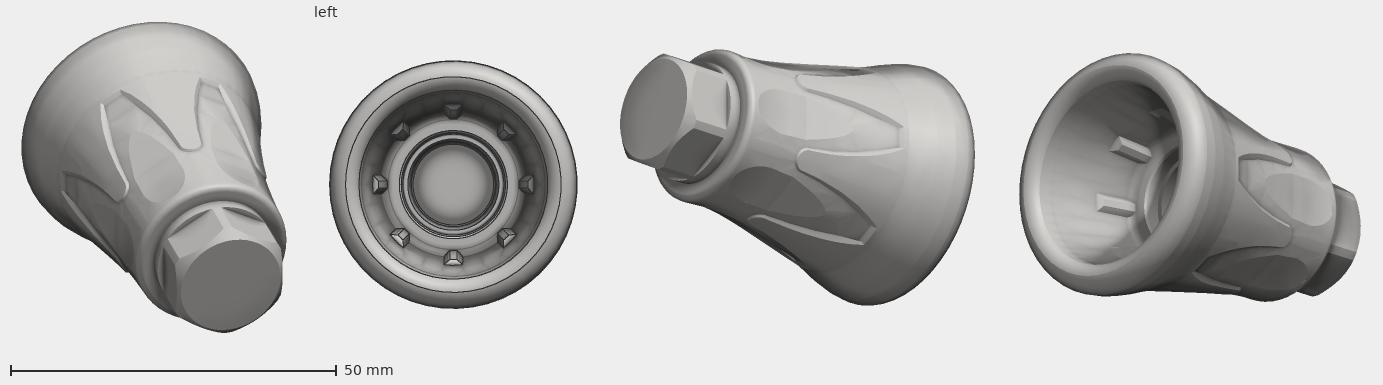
import cadquery as cq
import math

length = 50.0
mouth_radius = 19.0
shoulder_x = 40.6
hex_start_x = 42.5

rim_radius = 2.6
rim_crown_x = 2.75
rim_tip_radius = 16.55
flare_crown = (5.0, 18.7)
flare_middle = (8.0, 17.8)
flare_end = (12.4, 16.25)
flare_bow = 0.05
sleeve_middle = (19.0, 14.95)
sleeve_bend = (25.7, 13.75)
sleeve_end = (31.5, 12.85)

grip_count = 6
recess_start = (13.95, 15.35)
neck_middle = (30.9, 12.65)
neck_end_radius = 12.1
neck_fillet = 1.0
collar_end = (13.2, 16.1)
tongue_wedge_depth = 2.5
tongue_wedge_slope = 0.16
tongue_wall_angle = 35.0
tongue_root = (11.0, 7.75)
tongue_middle = (20.8, 3.85)
tongue_neck = (28.75, 2.55)
tongue_tip = (31.4, 0.0)
tongue_tip_height = 11.5

dent_start = (21.65, 13.85)
dent_bend_start = (29.75, 12.25)
dent_bend_end = (32.25, 12.0)
dent_end = (39.1, 12.1)
dent_front_bow = 0.05
dent_rear_bow = 0.25
dent_half_width = 3.65

collar_diameter = 18.9
hex_sides = 6
hex_across_flats = 17.0
end_diameter = 16.0

lip_middle = (0.45, 15.3)
lip_inner = (1.4, 14.5)
cone_start = (3.95, 14.1)
floor_x = 18.5
cone_floor_radius = 11.0
floor_fillet = 1.25
seat_diameter = 16.0
seat_chamfer = 0.3
seat_floor_x = 21.0
seat_floor_radius = 7.75
bore_diameter = 14.0
bore_end_radius = 6.45
bore_floor_radius = 6.2
bore_floor_x = 30.0

rib_count = 8
rib_start_x = 12.0
rib_root_half_width = 1.55
rib_shoulder_half_width = 0.9
rib_top_half_width = 0.55
rib_shoulder_height = 0.6
rib_height = 0.9
rib_embed = 0.5
rib_tip_lean = 0.9


def revolve_about_x(profile):
    return profile.close().revolve(360, (0, 0, 0), (1, 0, 0))


def bowed_midpoint(start, end, bow):
    """Middle of the chord between two points, moved radially by bow."""
    return ((start[0] + end[0]) / 2, (start[1] + end[1]) / 2 + bow)


def arc_between(profile, start, end, bow):
    return profile.threePointArc(bowed_midpoint(start, end, bow), end)


def ring_of(count, shape):
    """Union of copies of shape spread evenly about the X axis."""
    ring = shape
    for index in range(1, count):
        ring = ring.union(shape.rotate((0, 0, 0), (1, 0, 0), index * 360.0 / count))
    return ring


def flared_head():
    crown = (rim_crown_x, mouth_radius)
    rim_center = (rim_crown_x, mouth_radius - rim_radius)
    diagonal = rim_radius / math.sqrt(2)
    profile = cq.Workplane("XY").lineTo(0, rim_tip_radius).threePointArc(
        (rim_center[0] - diagonal, rim_center[1] + diagonal), crown)
    profile = arc_between(profile, crown, flare_crown, flare_bow)
    profile = arc_between(profile, flare_crown, flare_middle, flare_bow)
    profile = arc_between(profile, flare_middle, flare_end, -flare_bow)
    return revolve_about_x(profile.lineTo(flare_end[0], 0))


def neck():
    fillet_start = (shoulder_x - neck_fillet, neck_end_radius)
    inset = neck_fillet * (1 - 1 / math.sqrt(2))
    profile = cq.Workplane("XY").moveTo(flare_end[0], 0).lineTo(flare_end[0], recess_start[1])
    profile = profile.lineTo(*recess_start).threePointArc(neck_middle, fillet_start)
    profile = profile.threePointArc((shoulder_x - inset, neck_end_radius - inset),
                                    (shoulder_x, neck_end_radius - neck_fillet))
    return revolve_about_x(profile.lineTo(shoulder_x, 0))


def tongue_outline(rise):
    """Tongue outline, rise above the sloping base of its wedge and narrower by the wall angle."""
    inset = rise * math.tan(math.radians(tongue_wall_angle))

    def place(point, side):
        x, half_width = point
        height = tongue_tip_height + tongue_wedge_slope * (tongue_tip[0] - x) + rise
        return cq.Vector(x, side * (half_width - inset), height)

    root, middle, neck_side = [[place(point, side) for side in (-1, 1)]
                               for point in (tongue_root, tongue_middle, tongue_neck)]
    tip = place((tongue_tip[0] - inset, inset), 1)
    return cq.Wire.assembleEdges([
        cq.Edge.makeThreePointArc(root[0], middle[0], neck_side[0]),
        cq.Edge.makeThreePointArc(neck_side[0], tip, neck_side[1]),
        cq.Edge.makeThreePointArc(neck_side[1], middle[1], root[1]),
        cq.Edge.makeLine(root[1], root[0]),
    ])


def tongue_wedge():
    """Wedge with sloping walls that bounds one tongue, wider at its base."""
    outlines = [tongue_outline(0), tongue_outline(tongue_wedge_depth)]
    return cq.Workplane(cq.Solid.makeLoft(outlines, True))


def sleeve():
    """Raised collar whose tongues point towards the neck."""
    skin = cq.Workplane("XY").moveTo(flare_end[0], 0).lineTo(*flare_end)
    skin = skin.threePointArc(sleeve_middle, sleeve_bend).lineTo(*sleeve_end)
    skin = revolve_about_x(skin.lineTo(sleeve_end[0], 0))
    wall_slope = (recess_start[1] - collar_end[1]) / (recess_start[0] - collar_end[0])
    apex_x = recess_start[0] - recess_start[1] / wall_slope
    rear_radius = collar_end[1] + wall_slope * (flare_end[0] - collar_end[0])
    collar = cq.Workplane("XY").moveTo(flare_end[0], 0).lineTo(flare_end[0], rear_radius)
    collar = revolve_about_x(collar.lineTo(apex_x, 0))
    return skin.intersect(collar.union(ring_of(grip_count, tongue_wedge())))


def dents():
    cutter = cq.Workplane("XY").workplane(offset=-dent_half_width).moveTo(*dent_start)
    cutter = arc_between(cutter, dent_start, dent_bend_start, -dent_front_bow)
    cutter = arc_between(cutter.lineTo(*dent_bend_end), dent_bend_end, dent_end, -dent_rear_bow)
    cutter = cutter.lineTo(dent_end[0], dent_start[1]).close().extrude(2 * dent_half_width)
    return ring_of(grip_count, cutter)


def hex_end():
    """Round collar followed by a hexagon whose corners are turned round and chamfered."""
    collar_radius = collar_diameter / 2
    chamfer = collar_radius - end_diameter / 2
    across_corners = hex_across_flats / math.cos(math.pi / hex_sides)
    collar = (
        cq.Workplane("YZ").workplane(offset=shoulder_x)
        .circle(collar_radius).extrude(hex_start_x - shoulder_x)
    )
    hexagon = (
        cq.Workplane("YZ").workplane(offset=hex_start_x)
        .transformed(rotate=(0, 0, 180.0 / hex_sides))
        .polygon(hex_sides, across_corners).extrude(length - hex_start_x)
    )
    turned_bar = (
        cq.Workplane("YZ").workplane(offset=hex_start_x)
        .circle(collar_radius).extrude(length - hex_start_x)
        .faces(">X").chamfer(chamfer)
    )
    return collar.union(hexagon.intersect(turned_bar))


def cavity():
    profile = (
        cq.Workplane("XY").lineTo(0, rim_tip_radius)
        .threePointArc(lip_middle, lip_inner)
        .lineTo(*cone_start).lineTo(floor_x, cone_floor_radius).lineTo(floor_x, 0)
    )
    bowl = revolve_about_x(profile).faces(">X").edges().fillet(floor_fillet)
    seat_radius = seat_diameter / 2
    bore_radius = bore_diameter / 2
    socket = (
        cq.Workplane("XY").moveTo(floor_x, 0).lineTo(floor_x, seat_radius + seat_chamfer)
        .lineTo(floor_x + seat_chamfer, seat_radius).lineTo(seat_floor_x, seat_floor_radius)
        .lineTo(seat_floor_x, bore_radius)
        .lineTo(bore_floor_x - bore_end_radius + bore_floor_radius, bore_end_radius)
        .lineTo(bore_floor_x, bore_floor_radius)
        .lineTo(bore_floor_x, 0)
    )
    return bowl.union(revolve_about_x(socket))


def rib_section(x, lean):
    """Rib outline standing on the conical wall at x; lean tilts it along X as it rises."""
    slope = (cone_floor_radius - cone_start[1]) / (floor_x - cone_start[0])
    wall = cone_start[1] + slope * (x - cone_start[0])
    half = [
        (rib_root_half_width, -rib_embed),
        (rib_root_half_width, 0),
        (rib_shoulder_half_width, rib_shoulder_height),
        (rib_top_half_width, rib_height),
    ]
    outline = half + [(-y, rise) for y, rise in reversed(half)]
    points = [cq.Vector(x + lean * rise, y, wall - rise) for y, rise in outline]
    return cq.Wire.makePolygon(points, close=True)


def ribs():
    sections = [rib_section(rib_start_x, rib_tip_lean), rib_section(floor_x, 0)]
    rib = cq.Solid.makeLoft(sections, True)
    return ring_of(rib_count, cq.Workplane(rib))


body = flared_head().union(neck()).union(sleeve()).cut(dents()).union(hex_end())
result = body.cut(cavity()).union(ribs())